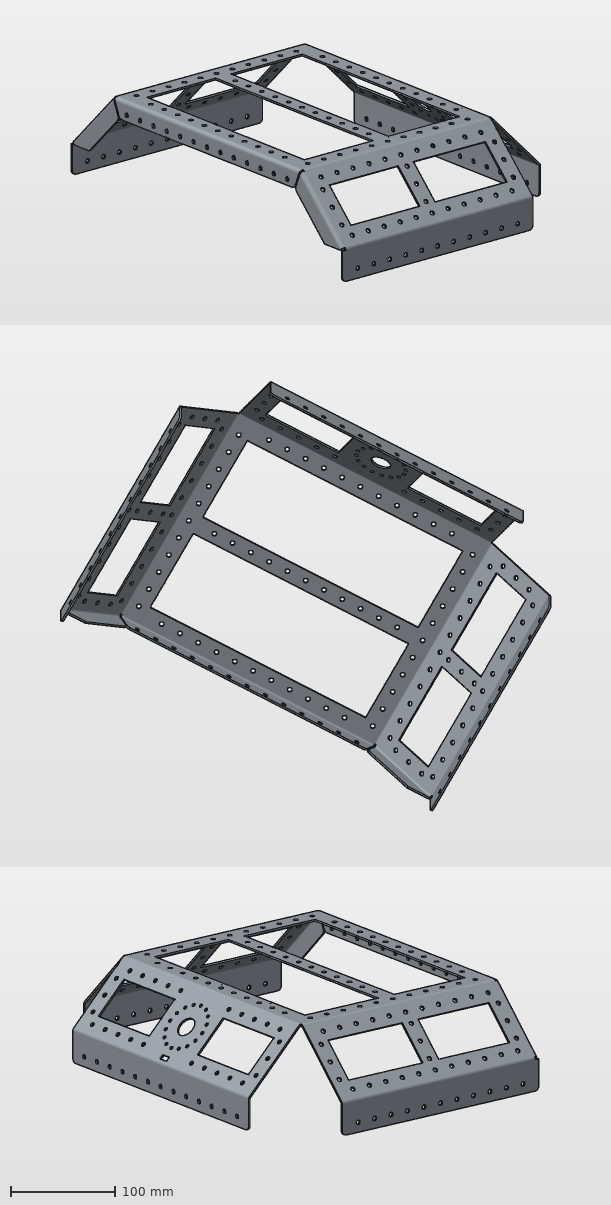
import cadquery as cq
import math

OVERALL_WIDTH = 406.0
OVERALL_HEIGHT = 96.5

SHEET = 2.0
OUTER_RADIUS = 3.98
INNER_RADIUS = OUTER_RADIUS - SHEET
BEND_ANGLE = 45.0
HALF_BEND = math.radians(BEND_ANGLE / 2)
SIN = math.sin(math.radians(BEND_ANGLE))
COS = math.cos(math.radians(BEND_ANGLE))

DECK_HALF_WIDTH = 138.0
DECK_DEPTH = 234.3
SIDE_RUN = OVERALL_WIDTH / 2 - DECK_HALF_WIDTH
REAR_RUN = 63.7

FLANGE_HEIGHT = OVERALL_HEIGHT - SIDE_RUN
BEND_TANGENT = OUTER_RADIUS * math.tan(HALF_BEND)
SHARP_CORNER_X = DECK_HALF_WIDTH + BEND_TANGENT
CORNER_RADIUS = 5.0

LIP_HEIGHT = 20.5
LIP_HOLE_DROP = 14.0
MITRE_SETBACK = 1.0
MITRE_SHIFT = LIP_HEIGHT * math.tan(HALF_BEND)

HOLE_DIAMETER = 4.5
HOLE_INSET = 10.0
WINDOW_MARGIN = 20.5
FRONT_BAR = 19.5
CROSSBAR_WIDTH = 19.0
CROSSBAR_Y = (DECK_DEPTH - OUTER_RADIUS) / 2
CROSSBAR_FRONT = CROSSBAR_Y - CROSSBAR_WIDTH / 2
CROSSBAR_REAR = CROSSBAR_Y + CROSSBAR_WIDTH / 2
DECK_ROW_INSET = 9.7
SIDE_HOLES = 11
FRONT_HOLES = 13
FRONT_ROW_SPAN = 240.0
PITCH = FRONT_ROW_SPAN / (FRONT_HOLES - 1)
PANEL_COLUMN_HOLES = 3

REAR_WINDOW_INNER_X = 37.8
REAR_ROW_HOLES = 5
CENTRE_HOLE_DIAMETER = 20.0
RING_HOLES = 16
RING_RADIUS = 25.0
RING_HOLE_DIAMETER = 3.5
SLOT_WIDTH = 10.0
SLOT_HEIGHT = 5.0
SLOT_FROM_PANEL_END = 5.3

CUT_DEPTH = 4 * SHEET


def centred_row(count, centre=0.0):
    """Positions of a row of grid holes spread evenly about a centre."""
    return [centre + (i - (count - 1) / 2) * PITCH for i in range(count)]


def symmetric(half):
    """Range reaching equally far either side of zero."""
    return (-half, half)


def drill(plane, points, diameter=HOLE_DIAMETER):
    """Round cutters through the sheet at points of a plane."""
    return cq.Workplane(plane).pushPoints(points).circle(diameter / 2).extrude(CUT_DEPTH / 2, both=True)


def window(plane, u_range, v_range):
    """Rectangular cutter through the sheet between two ranges in a plane."""
    centre = (sum(u_range) / 2, sum(v_range) / 2)
    width = u_range[1] - u_range[0]
    height = v_range[1] - v_range[0]
    return cq.Workplane(plane).center(*centre).rect(width, height).extrude(CUT_DEPTH / 2, both=True)


def make_panel_strip(x_start, x_end, edge_y, run):
    """Upper bend, 45 degree panel and lower bend, falling toward +Y from edge_y."""

    def on_upper_bend(radius, angle):
        return (edge_y + radius * math.sin(angle), -OUTER_RADIUS + radius * math.cos(angle))

    lower_y = edge_y + run - OUTER_RADIUS
    lower_z = -run

    def on_lower_bend(radius, angle):
        return (lower_y + radius * math.sin(angle), lower_z + radius * math.cos(angle))

    return (
        cq.Workplane("YZ", origin=(x_start, 0, 0))
        .moveTo(edge_y, 0)
        .threePointArc(on_upper_bend(OUTER_RADIUS, HALF_BEND), on_upper_bend(OUTER_RADIUS, 2 * HALF_BEND))
        .lineTo(*on_lower_bend(OUTER_RADIUS, 2 * HALF_BEND))
        .threePointArc(on_lower_bend(OUTER_RADIUS, 3 * HALF_BEND), on_lower_bend(OUTER_RADIUS, 4 * HALF_BEND))
        .lineTo(*on_lower_bend(INNER_RADIUS, 4 * HALF_BEND))
        .threePointArc(on_lower_bend(INNER_RADIUS, 3 * HALF_BEND), on_lower_bend(INNER_RADIUS, 2 * HALF_BEND))
        .lineTo(*on_upper_bend(INNER_RADIUS, 2 * HALF_BEND))
        .threePointArc(on_upper_bend(INNER_RADIUS, HALF_BEND), on_upper_bend(INNER_RADIUS, 0))
        .close()
        .extrude(x_end - x_start)
    )


def make_flange(x_start, x_end, edge_y, run):
    """Vertical flange below the lower bend, with rounded bottom corners."""
    return (
        cq.Workplane("XY")
        .box(x_end - x_start, SHEET, FLANGE_HEIGHT, centered=False)
        .edges("|Y").edges("<Z").fillet(CORNER_RADIUS)
        .translate((x_start, edge_y + run - SHEET, -run - FLANGE_HEIGHT))
    )


def panel_plane(edge_y, run):
    """Plane on a panel's upper face: local x along X, local y down the slope, origin mid-slope."""
    half_panel_run = (run - OUTER_RADIUS) / 2
    y = edge_y + OUTER_RADIUS * SIN + half_panel_run
    z = -OUTER_RADIUS * (1 - COS) - half_panel_run
    return cq.Plane(origin=(0, y, z), xDir=(1, 0, 0), normal=(0, SIN, COS))


def flange_plane(edge_y, run):
    """Vertical plane on a wing's flange, at the height of its hole row."""
    hole_z = HOLE_INSET - run - FLANGE_HEIGHT
    return cq.Plane(origin=(0, edge_y + run, hole_z), xDir=(1, 0, 0), normal=(0, -1, 0))


def panel_length(run):
    """Length of a wing's flat panel along the slope."""
    return (run - OUTER_RADIUS) / COS


def make_deck():
    """Flat top with two windows and a crossbar between them."""
    deck = cq.Workplane("XY").box(2 * DECK_HALF_WIDTH, DECK_DEPTH, SHEET, centered=(True, False, False))
    deck = deck.translate((0, 0, -SHEET))
    window_x = DECK_HALF_WIDTH - WINDOW_MARGIN
    column_x = DECK_HALF_WIDTH - HOLE_INSET
    for y_range in ((FRONT_BAR, CROSSBAR_FRONT), (CROSSBAR_REAR, DECK_DEPTH - WINDOW_MARGIN)):
        deck = deck.cut(window("XY", symmetric(window_x), y_range))
    rows = (DECK_ROW_INSET, CROSSBAR_Y, DECK_DEPTH - DECK_ROW_INSET)
    points = [(x, y) for y in rows for x in centred_row(SIDE_HOLES)]
    points += [(x, y) for x in symmetric(column_x) for y in centred_row(SIDE_HOLES, CROSSBAR_Y)]
    return deck.cut(drill("XY", points))


def make_rear_wing():
    """Rear wing with two windows, a ring of small holes round a large hole, and a slot."""
    plane = panel_plane(DECK_DEPTH, REAR_RUN)
    wing = make_panel_strip(-DECK_HALF_WIDTH, DECK_HALF_WIDTH, DECK_DEPTH, REAR_RUN)
    wing = wing.union(make_flange(-DECK_HALF_WIDTH, DECK_HALF_WIDTH, DECK_DEPTH, REAR_RUN))

    half_panel = panel_length(REAR_RUN) / 2
    rows = symmetric(half_panel - HOLE_INSET)
    window_v = symmetric(half_panel - WINDOW_MARGIN)
    window_outer_x = DECK_HALF_WIDTH - WINDOW_MARGIN
    window_middle_x = (REAR_WINDOW_INNER_X + window_outer_x) / 2
    column_x = DECK_HALF_WIDTH - HOLE_INSET
    points = []
    for side in (-1, 1):
        x_range = sorted((side * REAR_WINDOW_INNER_X, side * window_outer_x))
        wing = wing.cut(window(plane, x_range, window_v))
        points += [(x, v) for v in rows for x in centred_row(REAR_ROW_HOLES, side * window_middle_x)]
        points += [(side * column_x, v) for v in centred_row(PANEL_COLUMN_HOLES)]
    wing = wing.cut(drill(plane, points))

    ring_angles = [2 * math.pi * i / RING_HOLES for i in range(RING_HOLES)]
    ring = [(RING_RADIUS * math.cos(a), RING_RADIUS * math.sin(a)) for a in ring_angles]
    wing = wing.cut(drill(plane, ring, RING_HOLE_DIAMETER))
    wing = wing.cut(drill(plane, [(0, 0)], CENTRE_HOLE_DIAMETER))

    slot_v = half_panel - SLOT_FROM_PANEL_END
    slot_range = (slot_v - SLOT_HEIGHT / 2, slot_v + SLOT_HEIGHT / 2)
    wing = wing.cut(window(plane, symmetric(SLOT_WIDTH / 2), slot_range))
    return wing.cut(drill(flange_plane(DECK_DEPTH, REAR_RUN), [(x, 0) for x in centred_row(FRONT_HOLES)]))


def make_right_wing():
    """Side wing, laid out falling toward +Y with local x = -Y, then turned to face +X."""
    plane = panel_plane(DECK_HALF_WIDTH, SIDE_RUN)
    wing = make_panel_strip(-DECK_DEPTH, 0, DECK_HALF_WIDTH, SIDE_RUN)
    wing = wing.union(make_flange(-DECK_DEPTH, OUTER_RADIUS, DECK_HALF_WIDTH, SIDE_RUN))

    half_panel = panel_length(SIDE_RUN) / 2
    rows = symmetric(half_panel - HOLE_INSET)
    window_v = symmetric(half_panel - WINDOW_MARGIN)
    for y_range in ((FRONT_BAR, CROSSBAR_FRONT), (CROSSBAR_REAR, DECK_DEPTH - FRONT_BAR)):
        wing = wing.cut(window(plane, (-y_range[1], -y_range[0]), window_v))

    long_row = centred_row(SIDE_HOLES, -CROSSBAR_Y)
    columns = (-DECK_ROW_INSET, -CROSSBAR_Y, DECK_ROW_INSET - DECK_DEPTH)
    points = [(x, v) for v in rows for x in long_row]
    points += [(x, v) for x in columns for v in centred_row(PANEL_COLUMN_HOLES)]
    wing = wing.cut(drill(plane, points))
    wing = wing.cut(drill(flange_plane(DECK_HALF_WIDTH, SIDE_RUN), [(x, 0) for x in long_row]))
    return wing.rotate((0, 0, 0), (0, 0, 1), -90)


def lip_outline(points):
    """Solid that trims a lip to the given outline in X and Z."""
    return cq.Workplane("XZ").polyline(points).close().extrude(OUTER_RADIUS)


def make_lip(outline):
    """Lip folded down from a horizontal edge at Y = 0, trimmed to an outline solid."""
    outer_middle = OUTER_RADIUS * SIN
    inner_middle = INNER_RADIUS * SIN
    folded = (
        cq.Workplane("YZ")
        .moveTo(0, 0)
        .threePointArc((-outer_middle, outer_middle - OUTER_RADIUS), (-OUTER_RADIUS, -OUTER_RADIUS))
        .lineTo(-OUTER_RADIUS, -LIP_HEIGHT)
        .lineTo(-INNER_RADIUS, -LIP_HEIGHT)
        .lineTo(-INNER_RADIUS, -OUTER_RADIUS)
        .threePointArc((-inner_middle, inner_middle - OUTER_RADIUS), (0, -SHEET))
        .close()
        .extrude(OVERALL_WIDTH / 2, both=True)
    )
    return folded.intersect(outline)


def make_front_lip():
    """Lip along the front edge of the deck, with a row of holes."""
    top_x = SHARP_CORNER_X - MITRE_SETBACK
    bottom_x = top_x - MITRE_SHIFT
    outline = lip_outline([(-top_x, 0), (top_x, 0), (bottom_x, -LIP_HEIGHT), (-bottom_x, -LIP_HEIGHT)])
    lip = make_lip(outline.edges("|Y").edges("<Z").fillet(CORNER_RADIUS))
    face = cq.Plane(origin=(0, -OUTER_RADIUS, -LIP_HOLE_DROP), xDir=(1, 0, 0), normal=(0, -1, 0))
    return lip.cut(drill(face, [(x, 0) for x in centred_row(FRONT_HOLES)]))


def make_right_lip():
    """Lip along the front edge of the right panel; its lower end is cut level."""
    panel_end = BEND_TANGENT + panel_length(SIDE_RUN)
    outline = lip_outline(
        [
            (MITRE_SETBACK, 0),
            (panel_end, 0),
            (panel_end, -OUTER_RADIUS),
            (panel_end - (LIP_HEIGHT - OUTER_RADIUS), -LIP_HEIGHT),
            (MITRE_SETBACK + MITRE_SHIFT, -LIP_HEIGHT),
        ]
    )
    lip = make_lip(outline.edges("|Y").edges("<Z").edges("<X").fillet(CORNER_RADIUS))
    return lip.rotate((0, 0, 0), (0, 1, 0), BEND_ANGLE).translate((SHARP_CORNER_X, 0, 0))


right_side = make_right_wing().union(make_right_lip())
result = make_deck().union(make_rear_wing()).union(make_front_lip())
result = result.union(right_side).union(right_side.mirror("YZ"))